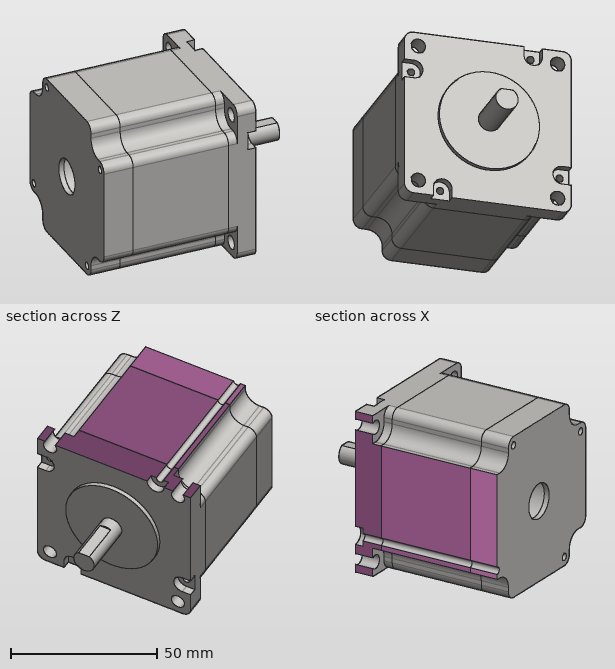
import cadquery as cq

side = 60.0
half_side = side / 2

rear_cap_length = 11.0
stator_length = 36.0
front_cap_length = 10.4
flange_thickness = 7.1
boss_height = 1.65
overall_length = 78.5
shaft_flat_length = 15.1

front_joint = rear_cap_length + stator_length
mounting_face = front_joint + front_cap_length
flange_back = mounting_face - flange_thickness
boss_face = mounting_face + boss_height

flange_corner_radius = 3.15
mounting_hole_offset = 25.05
mounting_hole_diameter = 5.1

relief_radius = 5.5
relief_edge = mounting_hole_offset - relief_radius
shoulder_radius = 3.3

screw_inset = half_side - shoulder_radius
screw_offset = relief_edge - shoulder_radius
screw_hole_diameter = 2.6
screw_slot_depth = 3.0

boss_diameter = 35.95
shaft_diameter = 8.0
shaft_flat_depth = 0.59
rear_opening_diameter = 13.0
rear_lip_thickness = 2.0
bearing_bore_diameter = 22.0

hub_wall = 1.6
hub_length = 2.0
hub_diameter = bearing_bore_diameter + 2 * hub_wall
hub_end = rear_cap_length + hub_length

quarter_turns = [0, 90, 180, 270]


def plane_at(y):
    """Workplane normal to +Y, with local x along -X and local y along +Z."""
    return cq.Workplane(cq.Plane(origin=(0, y, 0), xDir=(-1, 0, 0), normal=(0, 1, 0)))


def cylinder(diameter, start, end):
    return plane_at(start).circle(diameter / 2).extrude(end - start)


def rounded_bar(width, height, start, end, radius):
    bar = plane_at(start).rect(width, height).extrude(end - start)
    return bar.edges("|Y").fillet(radius)


def relieved_body(start, end):
    """Square length of body with the four corners cut back around the mounting holes."""
    wide_bar = rounded_bar(side, 2 * relief_edge, start, end, shoulder_radius)
    tall_bar = rounded_bar(2 * relief_edge, side, start, end, shoulder_radius)
    cross = wide_bar.union(tall_bar)
    tolerance = 0.1
    reach = relief_edge + tolerance
    inner_corners = cq.selectors.BoxSelector((-reach, start, -reach), (reach, end, reach))
    return cross.edges("|Y").edges(inner_corners).fillet(relief_radius)


def around_axis(feature):
    """Four copies of a feature, a quarter turn apart about the motor axis."""
    copies = cq.Workplane()
    for angle in quarter_turns:
        copies = copies.add(feature.rotate((0, 0, 0), (0, 1, 0), angle))
    return copies.combine()


def screw_holes(start, end):
    hole = cylinder(screw_hole_diameter, start, end)
    return around_axis(hole.translate((-screw_offset, 0, screw_inset)))


def screw_slots():
    """Round-ended slots in the mounting face, open through the sides of the flange."""
    start = mounting_face - screw_slot_depth
    slot_width = 2 * shoulder_radius
    slot_end = cylinder(slot_width, start, mounting_face).translate((0, 0, screw_inset))
    mouth = (
        plane_at(start)
        .center(0, screw_inset + slot_width / 2)
        .rect(slot_width, slot_width)
        .extrude(screw_slot_depth)
    )
    return around_axis(slot_end.union(mouth).translate((-screw_offset, 0, 0)))


def mounting_holes():
    hole = cylinder(mounting_hole_diameter, flange_back, mounting_face)
    return around_axis(hole.translate((mounting_hole_offset, 0, mounting_hole_offset)))


def flatted_shaft():
    shaft = cylinder(shaft_diameter, boss_face, overall_length)
    flat_level = shaft_diameter / 2 - shaft_flat_depth
    flat_cut = (
        plane_at(overall_length - shaft_flat_length)
        .center(0, flat_level + shaft_diameter / 2)
        .rect(shaft_diameter, shaft_diameter)
        .extrude(shaft_flat_length)
    )
    return shaft.cut(flat_cut)


def make_rear_cap():
    """Relieved end cap with a lipped bearing bore that runs on through its hub."""
    cap = relieved_body(0, rear_cap_length)
    cap = cap.union(cylinder(hub_diameter, rear_cap_length, hub_end))
    cap = cap.cut(cylinder(rear_opening_diameter, 0, rear_lip_thickness))
    cap = cap.cut(cylinder(bearing_bore_diameter, rear_lip_thickness, hub_end))
    return cap.cut(screw_holes(0, rear_cap_length))


def make_stator():
    """Relieved middle section, recessed for the hub of the rear cap."""
    stator = relieved_body(rear_cap_length, front_joint)
    stator = stator.cut(cylinder(hub_diameter, rear_cap_length, hub_end))
    return stator.cut(screw_holes(rear_cap_length, front_joint))


def make_front_cap():
    """Flange, pilot boss and shaft on a short relieved collar."""
    cap = relieved_body(front_joint, flange_back)
    cap = cap.union(rounded_bar(side, side, flange_back, mounting_face, flange_corner_radius))
    cap = cap.cut(mounting_holes())
    cap = cap.cut(screw_holes(front_joint, mounting_face))
    cap = cap.cut(screw_slots())
    cap = cap.union(cylinder(boss_diameter, mounting_face, boss_face))
    return cap.union(flatted_shaft())


rear_cap = make_rear_cap()
stator = make_stator()
front_cap = make_front_cap()

bodies = [body.solids().val() for body in (rear_cap, stator, front_cap)]
result = cq.Compound.makeCompound(bodies)